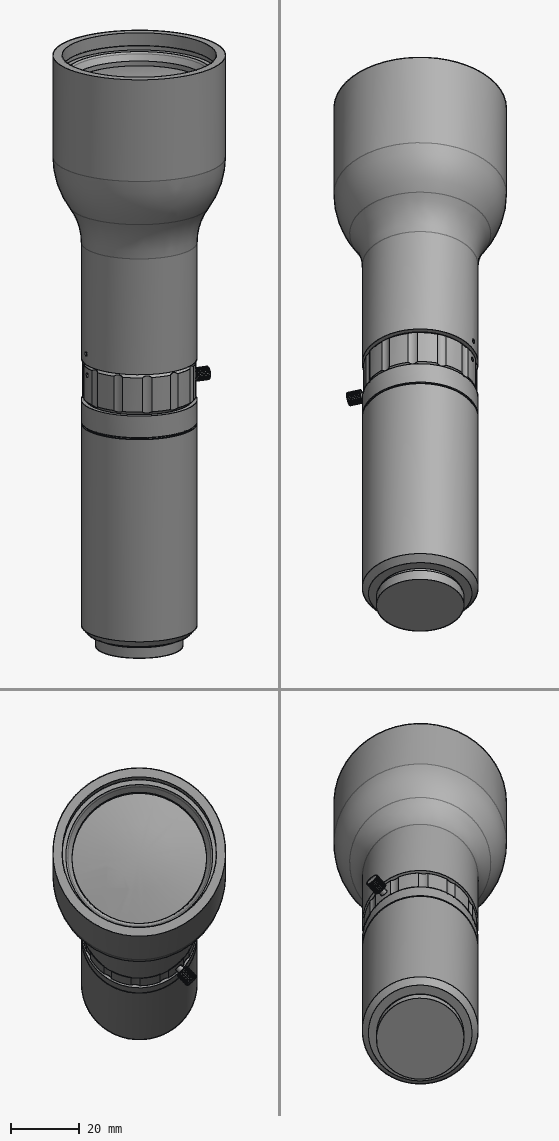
import cadquery as cq
import math

TOTAL_HEIGHT = 178.9
HEAD_RADIUS = 25.0
BARREL_RADIUS = 16.8

MOUNT_RADIUS = 12.7
MOUNT_HEIGHT = 3.2
RELIEF_RADIUS = 12.2
TAPER_BOTTOM_Z = 4.3
TAPER_TOP_Z = 6.3
TAPER_WIDTH = 1.8

SEAM_TOP_Z = 68.0
SEAM_WIDTH = 0.5
SEAM_DEPTH = 0.5

RING_RADIUS = 16.5
RING_BOTTOM_Z = 74.5
RING_TOP_Z = 87.1
RING_CHAMFER = 1.0
FLUTE_COUNT = 12
FLUTE_DEPTH = 0.45
FLUTE_CUTTER_RADIUS = 2.5
FLUTE_START_ANGLE = 12.5

SHOULDER_BOTTOM_Z = 122.2
SHOULDER_TOP_Z = 148.1

BORE_RADIUS = 22.4
BORE_DEPTH = 4.0
UNDERCUT_RADIUS = 22.9
LEDGE_DEPTH = 5.4
RETAINER_RADIUS = 21.3
RETAINER_CHAMFER = 0.5
FUNNEL_END_DEPTH = 7.7
LENS_RADIUS = 19.5
LENS_EDGE_DEPTH = 9.1
LENS_CROWN_DEPTH = 7.3

MARK_RADIUS = 0.63
MARK_DEPTH = 0.5
MARK_ANGLE = -92.5
BARREL_MARK_Z = 90.3
RING_MARK_Z = 83.9

SCREW_Z = 79.8
SCREW_TIP_Y = 22.0
SCREW_HEAD_LENGTH = 4.0
SCREW_HEAD_RADIUS = 2.0
SCREW_SHANK_RADIUS = 1.0
SCREW_ROOT_Y = 14.3
KNURL_COUNT = 24
KNURL_RADIUS = 0.2


def make_body():
    """Revolve the outside of the tube as a solid."""
    taper_radius = BARREL_RADIUS - TAPER_WIDTH
    ring_end_radius = RING_RADIUS - RING_CHAMFER
    seam_radius = BARREL_RADIUS - SEAM_DEPTH
    seam_bottom_z = SEAM_TOP_Z - SEAM_WIDTH

    rise = SHOULDER_TOP_Z - SHOULDER_BOTTOM_Z
    radius_step = HEAD_RADIUS - BARREL_RADIUS
    blend_radius = (rise**2 - HEAD_RADIUS**2 + BARREL_RADIUS**2) / (2 * radius_step)
    blend_angle = math.asin(rise / (HEAD_RADIUS + blend_radius))
    blend_center_r = BARREL_RADIUS + blend_radius

    def sphere_point(angle):
        return (
            HEAD_RADIUS * math.cos(angle),
            SHOULDER_TOP_Z - HEAD_RADIUS * math.sin(angle),
        )

    def blend_point(angle):
        return (
            blend_center_r - blend_radius * math.cos(angle),
            SHOULDER_BOTTOM_Z + blend_radius * math.sin(angle),
        )

    return (
        cq.Workplane("XZ")
        .moveTo(0, 0)
        .lineTo(MOUNT_RADIUS, 0)
        .lineTo(MOUNT_RADIUS, MOUNT_HEIGHT)
        .lineTo(RELIEF_RADIUS, MOUNT_HEIGHT)
        .lineTo(RELIEF_RADIUS, TAPER_BOTTOM_Z)
        .lineTo(taper_radius, TAPER_BOTTOM_Z)
        .lineTo(BARREL_RADIUS, TAPER_TOP_Z)
        .lineTo(BARREL_RADIUS, seam_bottom_z)
        .lineTo(seam_radius, seam_bottom_z)
        .lineTo(seam_radius, SEAM_TOP_Z)
        .lineTo(BARREL_RADIUS, SEAM_TOP_Z)
        .lineTo(BARREL_RADIUS, RING_BOTTOM_Z)
        .lineTo(ring_end_radius, RING_BOTTOM_Z)
        .lineTo(RING_RADIUS, RING_BOTTOM_Z + RING_CHAMFER)
        .lineTo(RING_RADIUS, RING_TOP_Z - RING_CHAMFER)
        .lineTo(ring_end_radius, RING_TOP_Z)
        .lineTo(BARREL_RADIUS, RING_TOP_Z)
        .lineTo(BARREL_RADIUS, SHOULDER_BOTTOM_Z)
        .threePointArc(blend_point(blend_angle / 2), blend_point(blend_angle))
        .threePointArc(sphere_point(blend_angle / 2), (HEAD_RADIUS, SHOULDER_TOP_Z))
        .lineTo(HEAD_RADIUS, TOTAL_HEIGHT)
        .lineTo(0, TOTAL_HEIGHT)
        .close()
        .revolve(360, (0, 0), (0, 1))
    )


def make_front_cavity():
    """Revolve the space above the domed front lens, inside its funnel-shaped retainer."""
    bore_z = TOTAL_HEIGHT - BORE_DEPTH
    ledge_z = TOTAL_HEIGHT - LEDGE_DEPTH
    funnel_end_z = TOTAL_HEIGHT - FUNNEL_END_DEPTH
    lens_edge_z = TOTAL_HEIGHT - LENS_EDGE_DEPTH
    lens_crown_z = TOTAL_HEIGHT - LENS_CROWN_DEPTH

    sag = LENS_EDGE_DEPTH - LENS_CROWN_DEPTH
    dome_radius = (LENS_RADIUS**2 + sag**2) / (2 * sag)
    middle_r = LENS_RADIUS / 2
    middle_z = lens_crown_z - dome_radius + math.sqrt(dome_radius**2 - middle_r**2)

    return (
        cq.Workplane("XZ")
        .moveTo(0, TOTAL_HEIGHT)
        .lineTo(BORE_RADIUS, TOTAL_HEIGHT)
        .lineTo(BORE_RADIUS, bore_z)
        .lineTo(UNDERCUT_RADIUS, bore_z)
        .lineTo(UNDERCUT_RADIUS, ledge_z)
        .lineTo(RETAINER_RADIUS, ledge_z)
        .lineTo(RETAINER_RADIUS - RETAINER_CHAMFER, ledge_z - RETAINER_CHAMFER)
        .lineTo(LENS_RADIUS, funnel_end_z)
        .lineTo(LENS_RADIUS, lens_edge_z)
        .threePointArc((middle_r, middle_z), (0, lens_crown_z))
        .close()
        .revolve(360, (0, 0), (0, 1))
    )


def make_flutes():
    """Round-bottomed grooves along the focus ring, clear of the barrels."""
    first_angle = FLUTE_START_ANGLE - 90
    return (
        cq.Workplane("XY")
        .workplane(offset=RING_BOTTOM_Z)
        .polarArray(RING_RADIUS - FLUTE_DEPTH + FLUTE_CUTTER_RADIUS, first_angle, 360, FLUTE_COUNT)
        .circle(FLUTE_CUTTER_RADIUS)
        .extrude(RING_TOP_Z - RING_BOTTOM_Z)
    )


def make_index_mark(surface_radius, z):
    """Shallow radial hole that marks the focus position."""
    return (
        cq.Workplane("YZ")
        .workplane(offset=surface_radius - MARK_DEPTH)
        .center(0, z)
        .circle(MARK_RADIUS)
        .extrude(2 * MARK_DEPTH)
        .rotate((0, 0, 0), (0, 0, 1), MARK_ANGLE)
    )


def make_locking_screw():
    """Screw with a knurled head standing out of the focus ring along +Y."""

    def plane_at(y):
        return cq.Workplane(cq.Plane(origin=(0, y, SCREW_Z), xDir=(1, 0, 0), normal=(0, 1, 0)))

    head_y = SCREW_TIP_Y - SCREW_HEAD_LENGTH
    shank = plane_at(SCREW_ROOT_Y).circle(SCREW_SHANK_RADIUS).extrude(head_y - SCREW_ROOT_Y)
    head = plane_at(head_y).circle(SCREW_HEAD_RADIUS).extrude(SCREW_HEAD_LENGTH)
    knurl = (
        plane_at(head_y)
        .polarArray(SCREW_HEAD_RADIUS, 0, 360, KNURL_COUNT)
        .circle(KNURL_RADIUS)
        .extrude(SCREW_HEAD_LENGTH)
    )
    return shank.union(head.cut(knurl))


result = (
    make_body()
    .cut(make_front_cavity())
    .cut(make_flutes())
    .cut(make_index_mark(BARREL_RADIUS, BARREL_MARK_Z))
    .cut(make_index_mark(RING_RADIUS, RING_MARK_Z))
    .union(make_locking_screw())
)